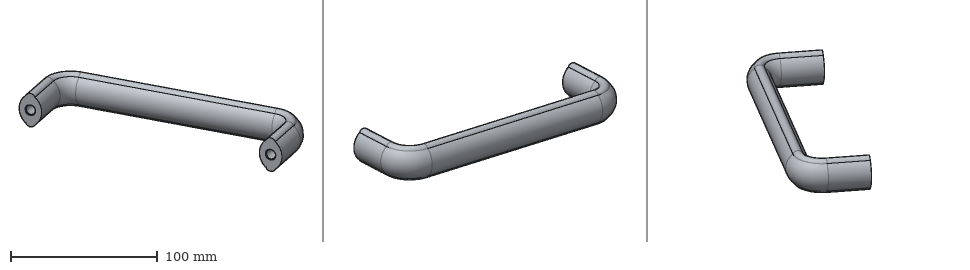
import cadquery as cq
import math

length = 197.0
depth = 55.0
height = 25.0

bar_width = 17.0
ridge_half_width = 3.5
ridge_base = 10.2
bend_outer_radius = 25.0

hole_diameter = 6.7
countersink_diameter = 7.9
hole_depth = 19.7
drill_point_angle = 118.0

half_width = bar_width / 2
half_height = height / 2
leg_x = length / 2 - half_width
bar_y = depth - half_width
bend_radius = bend_outer_radius - half_width


def bar_section(workplane):
    """Draw the bar section with its short axis along local X."""
    return (
        workplane.moveTo(ridge_half_width, -ridge_base)
        .threePointArc((half_width, 0), (ridge_half_width, ridge_base))
        .threePointArc((0, half_height), (-ridge_half_width, ridge_base))
        .threePointArc((-half_width, 0), (-ridge_half_width, -ridge_base))
        .threePointArc((0, -half_height), (ridge_half_width, -ridge_base))
        .close()
    )


def handle_bar():
    """Sweep the section along a U-shaped centre line."""
    bend_start_y = bar_y - bend_radius
    bend_end_x = leg_x - bend_radius
    bend_mid_x = bend_end_x + bend_radius * math.sqrt(0.5)
    bend_mid_y = bend_start_y + bend_radius * math.sqrt(0.5)
    path = (
        cq.Workplane("XY")
        .moveTo(-leg_x, 0)
        .lineTo(-leg_x, bend_start_y)
        .threePointArc((-bend_mid_x, bend_mid_y), (-bend_end_x, bar_y))
        .lineTo(bend_end_x, bar_y)
        .threePointArc((bend_mid_x, bend_mid_y), (leg_x, bend_start_y))
        .lineTo(leg_x, 0)
    )
    return bar_section(cq.Workplane("XZ", origin=(-leg_x, 0, 0))).sweep(path)


def drilled_hole(x):
    """Make a blind hole along +Y with a 45-degree countersink and a conical bottom."""
    radius = hole_diameter / 2
    mouth_radius = countersink_diameter / 2
    point_depth = radius / math.tan(math.radians(drill_point_angle / 2))
    return (
        cq.Workplane("XY", origin=(x, 0, 0))
        .lineTo(mouth_radius, 0)
        .lineTo(radius, mouth_radius - radius)
        .lineTo(radius, hole_depth)
        .lineTo(0, hole_depth + point_depth)
        .close()
        .revolve(360, (0, 0, 0), (0, 1, 0))
    )


result = handle_bar()
for hole_x in (-leg_x, leg_x):
    result = result.cut(drilled_hole(hole_x))